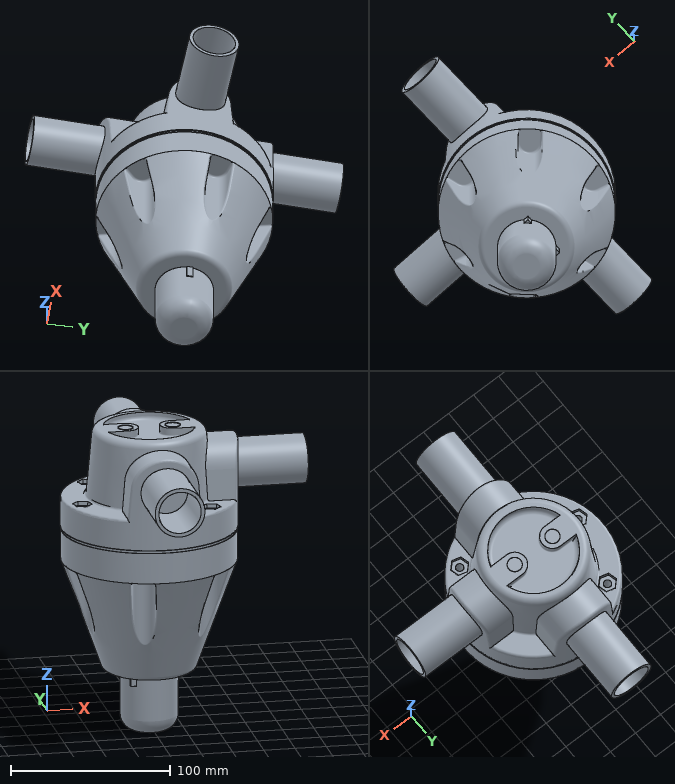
import cadquery as cq
import math

total_height = 199.0
outlet_top = 40.0
cone_top = 112.2
cup_top = 132.1
seam_top = 134.0
flange_top = 154.0
port_axis_height = 172.0

length_x = 155.0
port_span = 198.0
port_reach = port_span / 2
flange_radius = length_x - port_reach
cup_radius = 55.7
seam_radius = 55.3
cone_bottom_radius = 29.5
cone_bottom_fillet = 4.0
outlet_radius = 36.8 / 2
outlet_fillet = 10.0
flange_fillet = 2.0

draft = math.radians(5)
head_top_radius = 35.8
head_top_fillet = 4.8
head_base_fillet = 1.5
pocket_radius = 28.9
pocket_depth = 5.5
pocket_floor_fillet = 3.2
lug_end_radius = 8.2
lug_base_fillet = 0.8
lug_recess_offset = 15.1
lug_recess_radius = 4.8
lug_recess_depth = 0.4

wide_arch_radius = 21.9
narrow_arch_radius = 20.0
tube_radius = 16.0
bore_radius = 13.5
ports = ((0, narrow_arch_radius), (90, wide_arch_radius), (270, wide_arch_radius))
arch_foot_lift = 4.0

flute_count = 6
first_flute_angle = 15
flute_inner_radius = 39.2
flute_half_width = 7.5
flute_top_fillet = 1.4
flute_edge_fillet = 1.2
nut_angles = (135, 195, 315)
bolt_circle_radius = 46.8
nut_corner_radius = 6.2
nut_pocket_depth = 2.5
bolt_hole_radius = 2.5

corner_x = 14.5
corner_y = 14.7
corner_bar_width = 6.0
corner_length = 7.4
key_length = 9.5
key_width = 4.0
key_reach = 19.0

pick_slack = 0.2


def disc(radius, bottom, top):
    return cq.Workplane("XY").workplane(offset=bottom).circle(radius).extrude(top - bottom)


def turn(shape, angle):
    return shape.rotate((0, 0, 0), (0, 0, 1), angle)


def cone(bottom_radius, top_radius, bottom, top):
    outline = [(0, bottom), (bottom_radius, bottom), (top_radius, top), (0, top)]
    return cq.Workplane("XZ").polyline(outline).close().revolve(360, (0, 0), (0, 1))


def make_outlet():
    """Round-bottomed outlet with two square corners and a key standing out under the cone."""
    outlet = disc(outlet_radius, 0, outlet_top).faces("<Z").edges().fillet(outlet_fillet)
    corner_bar = (
        cq.Workplane("XY")
        .workplane(offset=outlet_top)
        .center(corner_bar_width / 2 - corner_x, 0)
        .rect(corner_bar_width, 2 * corner_y)
        .extrude(-corner_length)
    )
    key = (
        cq.Workplane("XY")
        .workplane(offset=outlet_top)
        .center(key_reach / 2, 0)
        .rect(key_reach, key_width)
        .extrude(-key_length)
    )
    return outlet.union(corner_bar).union(key)


def make_flute():
    """Cutter running straight down, so it fades out where the cone gets narrower than it."""
    round_center = flute_inner_radius + flute_half_width
    outer_end = cup_radius + flute_half_width
    return (
        cq.Workplane("XY")
        .workplane(offset=outlet_top)
        .moveTo(outer_end, -flute_half_width)
        .lineTo(round_center, -flute_half_width)
        .threePointArc((flute_inner_radius, 0), (round_center, flute_half_width))
        .lineTo(outer_end, flute_half_width)
        .close()
        .extrude(cone_top - outlet_top)
        .faces(">Z")
        .edges()
        .fillet(flute_top_fillet)
    )


def is_flute_mouth(edge):
    """True for the sides and tip of a flute opening on the cone, below the flute's rounded top."""
    slope = (cup_radius - cone_bottom_radius) / (cone_top - outlet_top)
    middle = edge.positionAt(0.5)
    cone_radius = cup_radius - slope * (cone_top - middle.z)
    on_cone = math.isclose(math.hypot(middle.x, middle.y), cone_radius, abs_tol=pick_slack)
    is_curved = edge.geomType() not in ("LINE", "CIRCLE")
    return on_cone and is_curved and middle.z < cone_top - flute_top_fillet


def make_cup():
    """Fluted cone and its cylindrical rim, with the narrower seam on top."""
    cup = cone(cone_bottom_radius, cup_radius, outlet_top, cone_top)
    cup = cup.faces("<Z").edges().fillet(cone_bottom_fillet)
    cup = cup.union(disc(cup_radius, cone_top, cup_top))
    flute = make_flute()
    for index in range(flute_count):
        cup = cup.cut(turn(flute, first_flute_angle + index * 360 / flute_count))
    cup = cup.edges().filter(is_flute_mouth).fillet(flute_edge_fillet)
    return cup.union(disc(seam_radius, cup_top, seam_top))


def make_arch(radius):
    """Arch with drafted sides, running out along +X past the flange."""
    drop = port_axis_height - seam_top - arch_foot_lift
    tangent_y = radius * math.cos(draft)
    tangent_z = radius * math.sin(draft)
    foot_y = tangent_y + (tangent_z + drop) * math.tan(draft)
    return (
        cq.Workplane("YZ", origin=(0, 0, port_axis_height))
        .moveTo(-foot_y, -drop)
        .lineTo(-tangent_y, tangent_z)
        .threePointArc((0, radius), (tangent_y, tangent_z))
        .lineTo(foot_y, -drop)
        .close()
        .extrude(2 * flange_radius)
    )


def is_rim(edge):
    """True for the curved edges where the tops of flange and arches meet the outer wall."""
    middle = edge.positionAt(0.5)
    on_wall = math.isclose(math.hypot(middle.x, middle.y), flange_radius, abs_tol=pick_slack)
    return on_wall and edge.geomType() != "LINE"


def make_flange():
    """Flange and arches trimmed to one outer wall, with one fillet running around the top rim."""
    flange = disc(2 * flange_radius, seam_top, flange_top)
    for angle, arch_radius in ports:
        flange = flange.union(turn(make_arch(arch_radius), angle))
    flange = flange.intersect(disc(flange_radius, seam_top, total_height))
    return flange.edges("not <Z").filter(is_rim).fillet(flange_fillet)


def make_hub():
    """Tapered head on a footing disc sunk in the flange, with a fillet where they meet."""
    base_radius = head_top_radius + (total_height - flange_top) * math.tan(draft)
    hub = cone(base_radius, head_top_radius, flange_top, total_height)
    hub = hub.faces(">Z").edges().fillet(head_top_fillet)
    footing = disc(base_radius + 2 * head_base_fillet, seam_top, flange_top)
    return hub.union(footing).edges(cq.selectors.RadiusNthSelector(-2)).fillet(head_base_fillet)


def make_lug():
    """Round-ended tongue reaching in from +X, flaring into a plate that lies under the pocket floor."""
    floor = total_height - pocket_depth
    tongue = (
        cq.Workplane("XY")
        .workplane(offset=floor)
        .moveTo(head_top_radius, -lug_end_radius)
        .lineTo(lug_recess_offset, -lug_end_radius)
        .threePointArc((lug_recess_offset - lug_end_radius, 0), (lug_recess_offset, lug_end_radius))
        .lineTo(head_top_radius, lug_end_radius)
        .close()
        .extrude(pocket_depth)
    )
    plate = disc(2 * head_top_radius, floor - pocket_depth, floor)
    lug_base = cq.selectors.BoxSelector(
        (0, -head_top_radius, floor - pick_slack),
        (head_top_radius - pick_slack, head_top_radius, floor + pick_slack),
    )
    lug = tongue.union(plate).edges(lug_base).fillet(lug_base_fillet)
    recess = disc(lug_recess_radius, total_height - lug_recess_depth, total_height)
    return lug.cut(recess.translate((lug_recess_offset, 0, 0)))


def make_pocket():
    """Cutter for the round pocket, leaving two lugs standing opposite each other."""
    floor = total_height - pocket_depth
    pocket = disc(pocket_radius, floor, total_height).faces("<Z").edges().fillet(pocket_floor_fillet)
    for angle in (0, 180):
        pocket = pocket.cut(turn(make_lug(), angle))
    return pocket


def along_port(radius, start):
    return (
        cq.Workplane("YZ", origin=(start, 0, port_axis_height))
        .circle(radius)
        .extrude(port_reach - start)
    )


def cut_nut_pocket(body, angle):
    """Hexagonal pocket with a bolt hole, one pair of its flats facing the main axis."""
    nut = (
        cq.Workplane("XY")
        .workplane(offset=flange_top)
        .polygon(6, 2 * nut_corner_radius)
        .extrude(-nut_pocket_depth, taper=math.degrees(draft))
        .rotate((0, 0, 0), (0, 0, 1), 90)
    )
    cutter = nut.union(disc(bolt_hole_radius, seam_top, flange_top))
    return body.cut(turn(cutter.translate((bolt_circle_radius, 0, 0)), angle))


body = make_outlet().union(make_cup()).union(make_flange()).union(make_hub())
for port_angle, _ in ports:
    body = body.union(turn(along_port(tube_radius, head_top_radius), port_angle))
    body = body.cut(turn(along_port(bore_radius, flange_radius), port_angle))
for nut_angle in nut_angles:
    body = cut_nut_pocket(body, nut_angle)
result = body.cut(make_pocket())